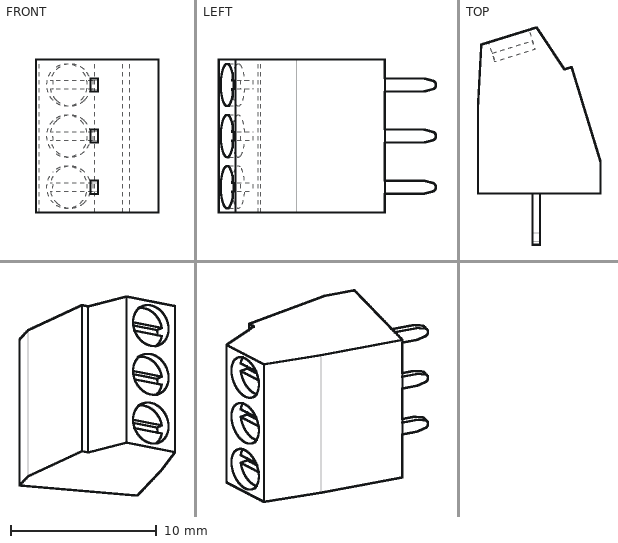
import cadquery as cq
import math

body_width = 8.4
body_height = 10.5
total_length = 14.9
pin_length = 3.5
body_length = total_length - pin_length

left_kink_y = 6.06
shoulder_x = 0.22
shoulder_y = 10.22
apex_x = 4.02
notch_x = 5.93
notch_y = 8.52
step_x = 6.42
step_y = 8.69
right_kink_y = 2.2

terminal_count = 3
pitch = body_height / terminal_count

hole_diameter = 2.9
hole_depth = 0.8

slot_width = 0.58
slot_depth = 0.6

pin_x = 4.0
pin_thickness = 0.54
pin_width = 0.91
taper_start = 2.68
tip_arc_start = 3.28
tip_width = 0.6
root_overlap = 0.15


def make_body():
    outline = [
        (0, 0),
        (body_width, 0),
        (body_width, right_kink_y),
        (step_x, step_y),
        (notch_x, notch_y),
        (apex_x, body_length),
        (shoulder_x, shoulder_y),
        (0, left_kink_y),
    ]
    return cq.Workplane("XY").polyline(outline).close().extrude(body_height)


def make_screw_hole(z):
    """Blind hole in the sloped top face, with a slot across its floor in the XY plane."""
    slope = math.atan2(body_length - shoulder_y, apex_x - shoulder_x)
    center = cq.Vector((shoulder_x + apex_x) / 2, (shoulder_y + body_length) / 2, z)
    along_slope = cq.Vector(math.cos(slope), math.sin(slope), 0)
    inward = cq.Vector(math.sin(slope), -math.cos(slope), 0)
    face_plane = cq.Plane(origin=center, xDir=along_slope, normal=inward)
    full_depth = hole_depth + slot_depth
    hole = cq.Workplane(face_plane).circle(hole_diameter / 2).extrude(hole_depth)
    slot = (
        cq.Workplane(face_plane)
        .circle(hole_diameter / 2)
        .extrude(full_depth)
        .intersect(cq.Workplane(face_plane).rect(hole_diameter, slot_width).extrude(full_depth))
    )
    return hole.union(slot)


def make_pin(z):
    """Flat pin along -Y, its root embedded in the body so the two fuse."""
    half = pin_width / 2
    half_tip = tip_width / 2
    return (
        cq.Workplane("YZ", origin=(pin_x, 0, z))
        .moveTo(root_overlap, -half)
        .lineTo(-taper_start, -half)
        .lineTo(-tip_arc_start, -half_tip)
        .threePointArc((-pin_length, 0), (-tip_arc_start, half_tip))
        .lineTo(-taper_start, half)
        .lineTo(root_overlap, half)
        .close()
        .extrude(pin_thickness / 2, both=True)
    )


result = make_body()
for index in range(terminal_count):
    terminal_z = (index + 0.5) * pitch
    result = result.cut(make_screw_hole(terminal_z)).union(make_pin(terminal_z))